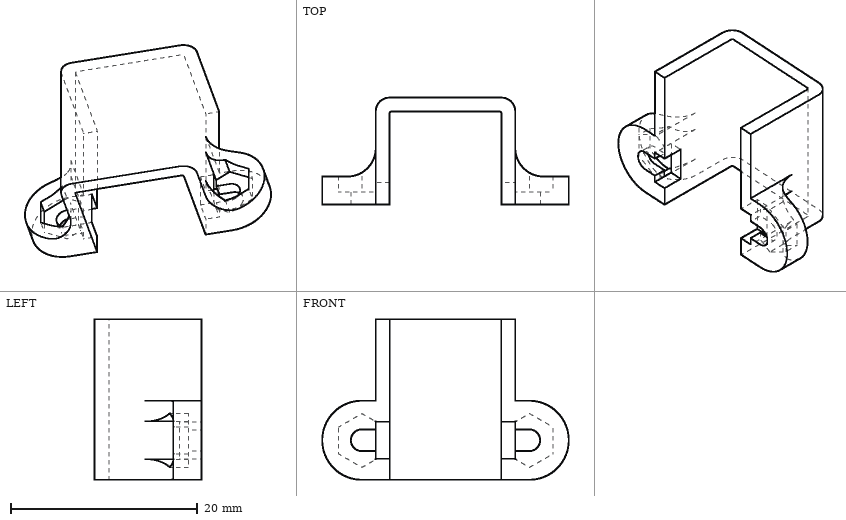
import cadquery as cq
import math

length = 26.5
depth = 11.5
height = 17.25

channel_width = 15.0
wall = 1.5
outer_corner_radius = 1.5
inner_corner_radius = 0.2

ear_height = 8.5
ear_thickness = 3.02
ear_fillet_radius = 3.02

slot_height = 2.3
nut_corner_radius = 2.9
nut_floor_y = 1.4
notch_height = 4.0
notch_depth = 2.38

wall_outer_x = channel_width / 2
wall_inner_x = wall_outer_x - wall
ear_radius = ear_height / 2
ear_center_x = length / 2 - ear_radius
ear_center_z = ear_radius


def box(x_min, x_max, y_min, y_max, z_min, z_max):
    """Axis-aligned box between two opposite corners."""
    size = (x_max - x_min, y_max - y_min, z_max - z_min)
    return cq.Workplane("XY").box(*size, centered=False).translate((x_min, y_min, z_min))


def rounded_tab(x_start, radius, y_length):
    """Tab from x_start to a round end about the ear centre, extending from y = 0."""
    block = box(x_start, ear_center_x, 0, y_length, ear_center_z - radius, ear_center_z + radius)
    round_end = (
        cq.Workplane("XZ", origin=(ear_center_x, 0, ear_center_z))
        .circle(radius)
        .extrude(-y_length)
    )
    return block.union(round_end)


def make_channel():
    """Channel with rounded back corners inside and out."""
    outer = box(-wall_outer_x, wall_outer_x, 0, depth, 0, height)
    outer = outer.edges("|Z and >Y").fillet(outer_corner_radius)
    cavity = box(-wall_inner_x, wall_inner_x, 0, depth - wall, 0, height)
    cavity = cavity.edges("|Z and >Y").fillet(inner_corner_radius)
    return outer.cut(cavity)


def make_ear():
    """Right-hand ear blended into the wall, with its slot and hexagonal nut pocket."""
    blend_top_y = ear_thickness + ear_fillet_radius
    blend_end_x = wall_outer_x + ear_fillet_radius
    arc_offset = ear_fillet_radius * (1 - math.sqrt(0.5))
    profile = (
        cq.Workplane("XY")
        .moveTo(wall_outer_x, 0)
        .lineTo(length / 2, 0)
        .lineTo(length / 2, ear_thickness)
        .lineTo(blend_end_x, ear_thickness)
        .threePointArc(
            (wall_outer_x + arc_offset, ear_thickness + arc_offset),
            (wall_outer_x, blend_top_y),
        )
        .close()
        .extrude(ear_height)
    )
    ear = profile.intersect(rounded_tab(wall_outer_x, ear_radius, blend_top_y))
    slot = rounded_tab(wall_outer_x, slot_height / 2, blend_top_y)
    nut_pocket = (
        cq.Workplane("XZ", origin=(ear_center_x, nut_floor_y, ear_center_z))
        .transformed(rotate=(0, 0, 90))
        .polygon(6, 2 * nut_corner_radius)
        .extrude(-(blend_top_y - nut_floor_y))
    )
    return ear.cut(slot).cut(nut_pocket)


def make_notch():
    """Notch through the right-hand wall, open at the front and into the nut pocket."""
    return box(
        wall_inner_x,
        wall_outer_x,
        0,
        notch_depth,
        ear_center_z - notch_height / 2,
        ear_center_z + notch_height / 2,
    )


right_ear = make_ear()
right_notch = make_notch()
result = make_channel().union(right_ear).union(right_ear.mirror("YZ"))
result = result.cut(right_notch).cut(right_notch.mirror("YZ"))